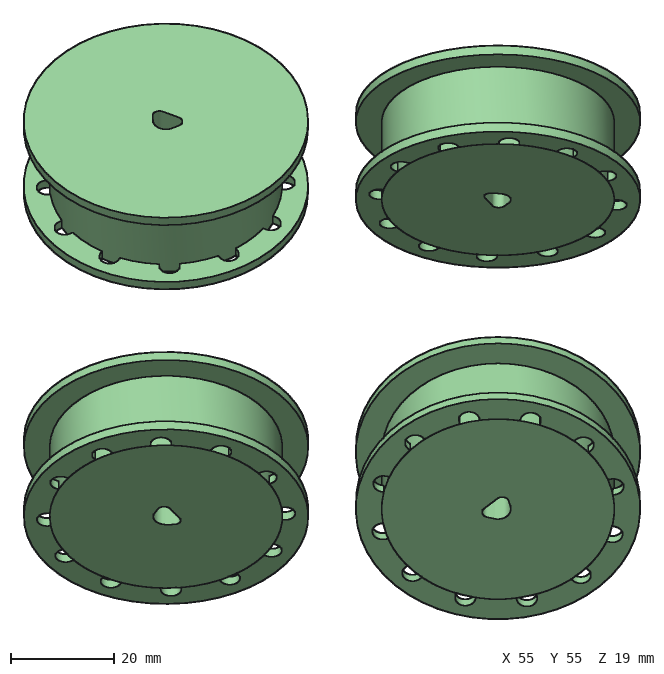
import cadquery as cq
import math

flange_diameter = 55.0
drum_diameter = 45.0
total_height = 19.0
flange_thickness = 2.0

slot_count = 12
slot_width = 3.95
slot_end_center_radius = 23.0
slot_inner_radius = 20.9

shaft_lobe_radius = 2.5
shaft_corner_radius = 1.3
shaft_corner_x = 1.75
shaft_flat_y = 2.0


def shaft_hole_outline():
    """Flat-topped outline whose corner arcs run tangentially into the round lobe."""
    corner_y = shaft_flat_y - shaft_corner_radius
    center_distance = math.hypot(shaft_corner_x, corner_y)
    normal_angle = math.atan2(corner_y, shaft_corner_x) - math.acos(
        (shaft_lobe_radius - shaft_corner_radius) / center_distance
    )
    corner_mid_angle = (math.pi / 2 + normal_angle) / 2

    def corner_point(angle):
        x = shaft_corner_x + shaft_corner_radius * math.cos(angle)
        y = corner_y + shaft_corner_radius * math.sin(angle)
        return x, y

    def mirrored(point):
        return -point[0], point[1]

    flat_end = (shaft_corner_x, shaft_flat_y)
    corner_mid = corner_point(corner_mid_angle)
    flank_top = corner_point(normal_angle)
    flank_bottom = (
        shaft_lobe_radius * math.cos(normal_angle),
        shaft_lobe_radius * math.sin(normal_angle),
    )
    return (
        cq.Workplane("XY")
        .moveTo(*mirrored(flat_end))
        .lineTo(*flat_end)
        .threePointArc(corner_mid, flank_top)
        .lineTo(*flank_bottom)
        .threePointArc((0, -shaft_lobe_radius), mirrored(flank_bottom))
        .lineTo(*mirrored(flank_top))
        .threePointArc(mirrored(corner_mid), mirrored(flat_end))
        .close()
    )


def make_drum():
    """Solid drum with the upper flange and a shaft hole along its whole height."""
    core = cq.Workplane("XY").circle(drum_diameter / 2).extrude(total_height)
    upper_flange = (
        cq.Workplane("XY")
        .workplane(offset=total_height - flange_thickness)
        .circle(flange_diameter / 2)
        .extrude(flange_thickness)
    )
    shaft_hole = shaft_hole_outline().extrude(total_height)
    return core.union(upper_flange).cut(shaft_hole)


def make_slot(angle):
    """Cutter for one slot with a rounded outer end, pointing outward at the angle."""
    slot_length = slot_end_center_radius - slot_inner_radius
    straight_part = (
        cq.Workplane("XY")
        .center((slot_inner_radius + slot_end_center_radius) / 2, 0)
        .rect(slot_length, slot_width)
        .extrude(flange_thickness)
    )
    rounded_end = (
        cq.Workplane("XY")
        .center(slot_end_center_radius, 0)
        .circle(slot_width / 2)
        .extrude(flange_thickness)
    )
    return straight_part.union(rounded_end).rotate((0, 0, 0), (0, 0, 1), angle)


def make_lower_flange():
    """Ring around the foot of the drum, with slots spaced evenly around its bore."""
    ring = (
        cq.Workplane("XY")
        .circle(flange_diameter / 2)
        .circle(drum_diameter / 2)
        .extrude(flange_thickness)
    )
    for index in range(slot_count):
        ring = ring.cut(make_slot(index * 360 / slot_count))
    return ring


drum = make_drum()
lower_flange = make_lower_flange()

result = cq.Compound.makeCompound([drum.val(), lower_flange.val()])